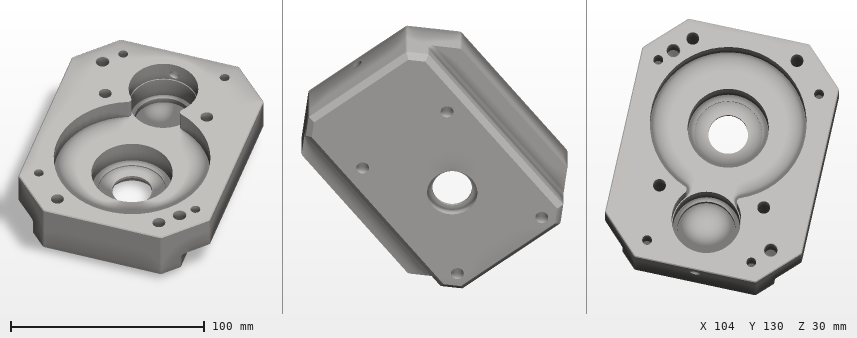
import cadquery as cq
import math

width = 104.0
length = 130.0
height = 30.0
corner_cut = 20.0
corner_radius = 2.0
top_edge_chamfer = 0.5
bottom_edge_chamfer = 3.0

relief_width = 12.0
relief_height = 12.1
relief_fillet = 2.0

gear_y = -15.0
gear_pocket_diameter = 81.0
gear_pocket_depth = 11.0
bearing_diameter = 42.0
bearing_depth = 23.3
bearing_clearance_diameter = 35.1
bearing_clearance_depth = 23.9
shaft_diameter = 20.5
seal_diameter = 26.0
seal_height = 4.5

pinion_y = 37.6
pinion_entry_diameter = 36.0
pinion_seat_diameter = 35.0
pinion_seat_depth = 22.5
pinion_clearance_diameter = 30.2
pinion_clearance_depth = 25.5
cusp_radius = 2.0

radial_hole_diameter = 5.2
radial_hole_depth = 7.2

bolt_diameter = 6.6
bolt_x = 27.5
bolt_offset_y = 40.0

drill_tip_angle = 118.0
screw_diameter = 5.1
screw_depth = 12.0
upper_screw_y = 55.0
lower_screw_x = 42.5
lower_screw_y = -40.0
dowel_diameter = 6.8
dowel_depth = 12.0
dowel_chamfer = 0.3
dowel_x = 36.0
dowel_y = 46.5


def make_block():
    """Octagonal block with relieved long sides and broken edges."""
    octagon = cq.Workplane("XY").rect(width, length).extrude(height).edges("|Z").chamfer(corner_cut)
    rounded = octagon.edges("|Z").fillet(corner_radius).faces(">Z").edges().chamfer(top_edge_chamfer)

    relieved = octagon
    for side in (-1, 1):
        relief = (
            cq.Workplane("XY")
            .box(2 * relief_width, 2 * length, 2 * relief_height)
            .edges("|Y and >Z")
            .fillet(relief_fillet)
            .translate((side * width / 2, 0, 0))
        )
        relieved = relieved.cut(relief)
    relieved = relieved.faces("<Z").edges().chamfer(bottom_edge_chamfer)

    return rounded.intersect(relieved)


def bore(y, diameter, depth):
    """Flat-bottomed cylinder sunk from the top face on the centre line."""
    return cq.Workplane("XY", origin=(0, y, height)).circle(diameter / 2).extrude(-depth)


def make_pocket():
    """Gear pocket merged with the pinion entry, with the two cusps between them rounded."""
    gear_radius = gear_pocket_diameter / 2
    pinion_radius = pinion_entry_diameter / 2
    spacing = pinion_y - gear_y
    cusp_offset = (gear_radius**2 - pinion_radius**2 + spacing**2) / (2 * spacing)
    cusp_x = math.sqrt(gear_radius**2 - cusp_offset**2)
    cusp_y = gear_y + cusp_offset
    cusp_z = height - gear_pocket_depth / 2

    pocket = bore(gear_y, gear_pocket_diameter, gear_pocket_depth)
    pocket = pocket.union(bore(pinion_y, pinion_entry_diameter, gear_pocket_depth))
    for side in (-1, 1):
        cusp = cq.NearestToPointSelector((side * cusp_x, cusp_y, cusp_z))
        pocket = pocket.edges(cusp).fillet(cusp_radius)
    return pocket


def drilled_hole(x, y, diameter, depth, chamfer=0.0):
    """Blind drilled hole with a conical tip and an optional mouth chamfer."""
    radius = diameter / 2
    tip = radius / math.tan(math.radians(drill_tip_angle / 2))
    profile = cq.Workplane("XZ").moveTo(0, 0).lineTo(radius + chamfer, 0)
    if chamfer:
        profile = profile.lineTo(radius, -chamfer)
    profile = profile.lineTo(radius, -depth).lineTo(0, -depth - tip).close()
    return profile.revolve(360, (0, 0, 0), (0, 1, 0)).translate((x, y, height))


result = make_block()

result = result.cut(make_pocket())

result = result.cut(bore(gear_y, bearing_diameter, bearing_depth))
result = result.cut(bore(gear_y, bearing_clearance_diameter, bearing_clearance_depth))
result = result.cut(bore(gear_y, shaft_diameter, height))
seal_recess = cq.Workplane("XY", origin=(0, gear_y, 0)).circle(seal_diameter / 2).extrude(seal_height)
result = result.cut(seal_recess)

result = result.cut(bore(pinion_y, pinion_seat_diameter, pinion_seat_depth))
result = result.cut(bore(pinion_y, pinion_clearance_diameter, pinion_clearance_depth))

radial_hole = (
    cq.Workplane("XZ", origin=(0, pinion_y, height - radial_hole_depth))
    .circle(radial_hole_diameter / 2)
    .extrude(-(length / 2 - pinion_y))
)
result = result.cut(radial_hole)

bolt_holes = (
    cq.Workplane("XY", origin=(0, gear_y, 0))
    .rect(2 * bolt_x, 2 * bolt_offset_y, forConstruction=True)
    .vertices()
    .circle(bolt_diameter / 2)
    .extrude(height)
)
result = result.cut(bolt_holes)

for side in (-1, 1):
    result = result.cut(drilled_hole(side * bolt_x, upper_screw_y, screw_diameter, screw_depth))
    result = result.cut(drilled_hole(side * lower_screw_x, lower_screw_y, screw_diameter, screw_depth))
    result = result.cut(drilled_hole(side * dowel_x, -side * dowel_y, dowel_diameter, dowel_depth, dowel_chamfer))